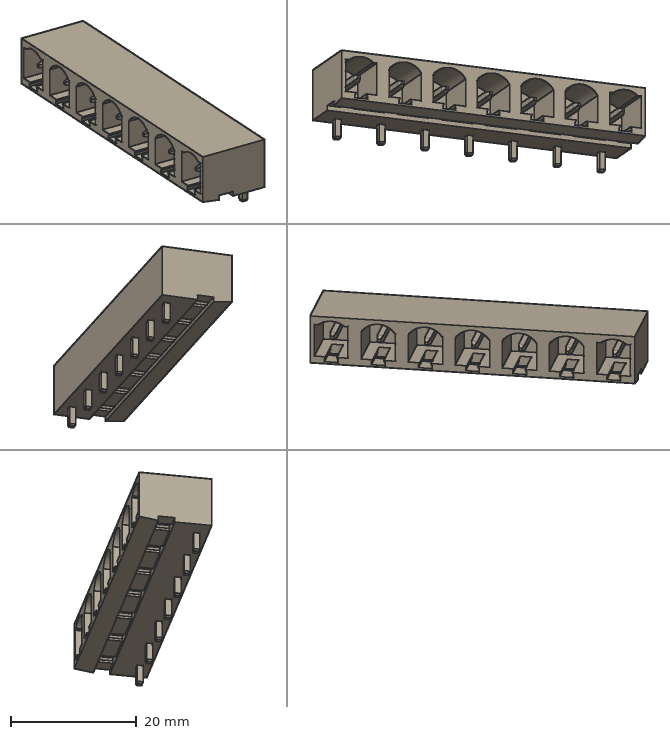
import cadquery as cq


length = 52.5
depth = 11.75
height = 8.4
front_edge_rise = 0.4
notch_front = 3.1
notch_back = 5.8
notch_height = 0.8

pin_count = 7
pitch = 7.6
pin_places = [(i - (pin_count - 1) / 2) * pitch for i in range(pin_count)]

pocket_depth = 7.9
pocket_floor = 1.65
pocket_crown = height - 0.7
arch_radius = 3.25
arch_centre = pocket_crown - arch_radius
inner_pocket_width = 5.55
end_pocket_width = 5.4
end_pocket_shoulder = height - 1.4

slot_mouth_width = 1.8
slot_base_width = 2.2
slot_upright_height = 0.4

pin_size = 1.0
pin_overall_height = 11.6
pin_bottom = height - pin_overall_height
pin_axis_height = height - 3.8
pin_axis_y = depth - 1.85
pin_tip_y = 0.95
contact_taper_length = 1.15
contact_tip_size = 0.4
solder_taper_length = 0.3
solder_tip_size = 0.75


def extrude_back(profile, distance):
    """Extrude an XZ profile from the front face toward +Y."""
    return profile.extrude(-distance)


def make_block():
    """Solid housing block with its notched and sloped underside."""
    profile = (
        cq.Workplane("YZ")
        .moveTo(0, front_edge_rise)
        .lineTo(notch_front, 0)
        .lineTo(notch_front, notch_height)
        .lineTo(notch_back, notch_height)
        .lineTo(notch_back, 0)
        .lineTo(depth, 0)
        .lineTo(depth, height)
        .lineTo(0, height)
        .close()
    )
    return profile.extrude(length / 2, both=True)


def make_rectangle_prism(x, width, bottom, top):
    """Box of pocket depth, centred on x and reaching from bottom to top in Z."""
    middle = (bottom + top) / 2
    profile = cq.Workplane("XZ").center(x, middle).rect(width, top - bottom)
    return extrude_back(profile, pocket_depth)


def make_arch(x):
    """Round-topped prism whose lower part reaches down to the pocket floor."""
    profile = cq.Workplane("XZ").center(x, arch_centre).circle(arch_radius)
    cylinder = extrude_back(profile, pocket_depth)
    return cylinder.union(make_rectangle_prism(x, 2 * arch_radius, pocket_floor, arch_centre))


def make_arched_pocket(x):
    """Pocket with straight sides under an arched roof."""
    sides = make_rectangle_prism(x, inner_pocket_width, pocket_floor, pocket_crown)
    return sides.intersect(make_arch(x))


def make_shouldered_pocket(x):
    """Rectangular pocket with the arch rising above its flat shoulders."""
    box = make_rectangle_prism(x, end_pocket_width, pocket_floor, end_pocket_shoulder)
    crown = make_rectangle_prism(x, end_pocket_width, pocket_floor, pocket_crown).intersect(make_arch(x))
    return box.union(crown)


def make_slot(x):
    """Slot with upright sides that lean inward up to its mouth."""
    shoulder = notch_height + slot_upright_height
    profile = (
        cq.Workplane("XZ")
        .moveTo(x - slot_base_width / 2, notch_height)
        .lineTo(x + slot_base_width / 2, notch_height)
        .lineTo(x + slot_base_width / 2, shoulder)
        .lineTo(x + slot_mouth_width / 2, pocket_floor)
        .lineTo(x - slot_mouth_width / 2, pocket_floor)
        .lineTo(x - slot_base_width / 2, shoulder)
        .close()
    )
    return extrude_back(profile, notch_back)


def make_taper(end_face, length, tip_size):
    """Square frustum narrowing from the full pin section to tip_size."""
    return (
        end_face.rect(pin_size, pin_size)
        .workplane(offset=length)
        .rect(tip_size, tip_size)
        .loft(ruled=True)
    )


def make_pin(x):
    """Square pin: horizontal leg into the pocket, vertical leg below the housing."""
    half = pin_size / 2
    contact_end = pin_tip_y + contact_taper_length
    solder_end = pin_bottom + solder_taper_length
    bent_bar = (
        cq.Workplane("YZ", origin=(x, 0, 0))
        .moveTo(contact_end, pin_axis_height + half)
        .lineTo(pin_axis_y + half, pin_axis_height + half)
        .lineTo(pin_axis_y + half, solder_end)
        .lineTo(pin_axis_y - half, solder_end)
        .lineTo(pin_axis_y - half, pin_axis_height - half)
        .lineTo(contact_end, pin_axis_height - half)
        .close()
        .extrude(half, both=True)
    )
    contact_face = cq.Workplane("XZ", origin=(x, contact_end, pin_axis_height))
    solder_face = cq.Workplane("XY", origin=(x, pin_axis_y, solder_end)).transformed(rotate=(180, 0, 0))
    contact_tip = make_taper(contact_face, contact_taper_length, contact_tip_size)
    solder_tip = make_taper(solder_face, solder_taper_length, solder_tip_size)
    return bent_bar.union(contact_tip).union(solder_tip)


def make_housing(pin_bodies):
    """Block with its pockets, slots and the pin passages."""
    housing = make_block()
    for x in pin_places:
        is_end_pocket = x in (pin_places[0], pin_places[-1])
        pocket = make_shouldered_pocket(x) if is_end_pocket else make_arched_pocket(x)
        housing = housing.cut(pocket).cut(make_slot(x))
    for pin in pin_bodies:
        housing = housing.cut(pin)
    return housing


pins = [make_pin(x) for x in pin_places]
housing = make_housing(pins)

result = cq.Compound.makeCompound([housing.val(), *[pin.val() for pin in pins]])